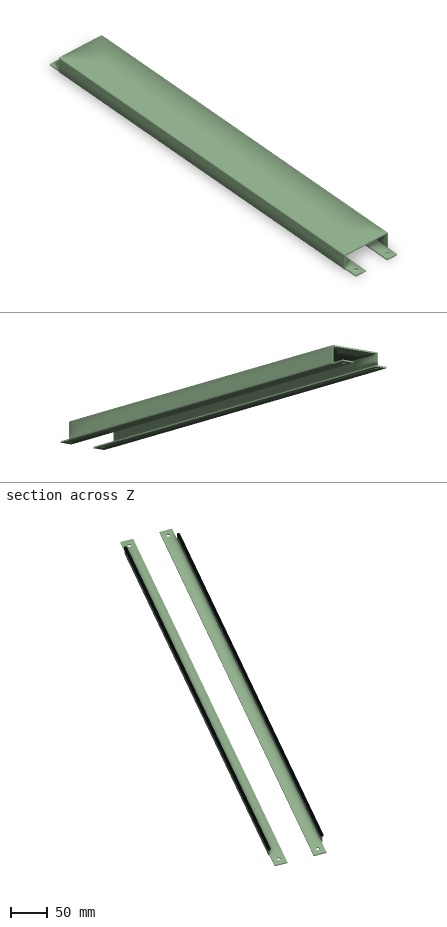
import cadquery as cq

overall_length = 632.0
channel_width = 78.0
channel_height = 26.0
sheet_thickness = 2.0
outer_bend_radius = 1.9
tab_length = 21.0
flange_width = 20.0
hole_diameter = 5.0
hole_end_distance = 10.0
hole_spacing_across = 56.0

channel_length = overall_length - 2 * tab_length
half_width = channel_width / 2
flange_inner_edge = half_width - flange_width
tab_width = flange_width - outer_bend_radius
tab_center_y = flange_inner_edge + tab_width / 2
hole_spacing_along = overall_length - 2 * hole_end_distance


def make_channel():
    """C channel with rounded outer corners and two inward flanges at the bottom."""
    outside = (
        cq.Workplane("XY")
        .box(channel_length, channel_width, channel_height, centered=(True, True, False))
        .edges("|X")
        .fillet(outer_bend_radius)
    )
    inside = (
        cq.Workplane("XY")
        .workplane(offset=sheet_thickness)
        .box(
            channel_length,
            channel_width - 2 * sheet_thickness,
            channel_height - 2 * sheet_thickness,
            centered=(True, True, False),
        )
    )
    flange_gap = cq.Workplane("XY").box(
        channel_length,
        2 * flange_inner_edge,
        sheet_thickness,
        centered=(True, True, False),
    )
    return outside.cut(inside).cut(flange_gap)


def make_tab_strip(side):
    """Flat part of one flange, running past both channel ends to form tabs."""
    strip = cq.Workplane("XY").box(
        overall_length,
        tab_width,
        sheet_thickness,
        centered=(True, True, False),
    )
    return strip.translate((0, side * tab_center_y, 0))


def make_mounting_holes():
    """Cutters for the through hole in each of the four tabs."""
    return (
        cq.Workplane("XY")
        .rarray(hole_spacing_along, hole_spacing_across, 2, 2)
        .circle(hole_diameter / 2)
        .extrude(sheet_thickness)
    )


result = make_channel()
for side in (-1, 1):
    result = result.union(make_tab_strip(side))
result = result.cut(make_mounting_holes())